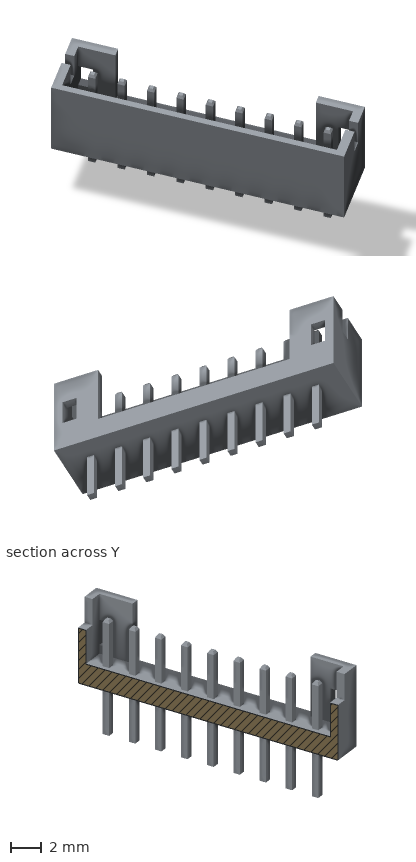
import cadquery as cq

LENGTH = 19.9
DEPTH = 4.5
HEIGHT = 5.99
END_WALL = 0.62
FRONT_WALL = 0.42
BACK_WALL = 0.6
FLOOR = 1.6

LEG_LENGTH = 3.15

SLOT_WIDTH = 0.8
SLOT_DEPTH = 1.91

WINDOW_WIDTH = 1.0
WINDOW_SILL = 2.23

PIN_COUNT = 9
PIN_ROW_SPAN = 16.0
PIN_SIZE = 0.5
PIN_BACK_GAP = 1.45
PIN_TAIL = 3.4
PIN_BELOW_RIM = 0.95
TIP_HEIGHT = 0.2
TIP_INSET = 0.12

inner_length = LENGTH - 2 * END_WALL
inner_half = inner_length / 2
inner_depth = DEPTH - FRONT_WALL - BACK_WALL
leg_spacing = LENGTH - 2 * LEG_LENGTH
pin_back = DEPTH - PIN_BACK_GAP
pin_y = pin_back - PIN_SIZE / 2
pin_pitch = PIN_ROW_SPAN / (PIN_COUNT - 1)
slot_floor = HEIGHT - SLOT_DEPTH


def box(x_min, y_min, z_min, x_size, y_size, z_size):
    """Axis-aligned box placed by its lowest corner."""
    return cq.Workplane("XY").box(x_size, y_size, z_size, centered=False).translate((x_min, y_min, z_min))


def make_housing():
    """Shroud with its cavity, open back, end-wall slots and leg windows."""
    wall_height = HEIGHT - FLOOR
    body = box(-LENGTH / 2, 0, 0, LENGTH, DEPTH, HEIGHT)
    cavity = box(-inner_half, FRONT_WALL, FLOOR, inner_length, inner_depth, wall_height)
    back_opening = box(-leg_spacing / 2, DEPTH - BACK_WALL, FLOOR, leg_spacing, BACK_WALL, wall_height)
    end_slots = box(-LENGTH / 2, pin_back - SLOT_WIDTH, slot_floor, LENGTH, SLOT_WIDTH, SLOT_DEPTH)
    body = body.cut(cavity).cut(back_opening).cut(end_slots)

    for window_x in (-inner_half, inner_half - WINDOW_WIDTH):
        window = box(
            window_x, DEPTH - BACK_WALL, WINDOW_SILL,
            WINDOW_WIDTH, BACK_WALL, slot_floor - WINDOW_SILL,
        )
        body = body.cut(window)
    return body


def make_pin(x):
    """Square pin passing through the floor, topped by a truncated pyramid."""
    tip_base = HEIGHT - PIN_BELOW_RIM - TIP_HEIGHT
    tip_size = PIN_SIZE - 2 * TIP_INSET
    shaft = box(x - PIN_SIZE / 2, pin_y - PIN_SIZE / 2, -PIN_TAIL, PIN_SIZE, PIN_SIZE, tip_base + PIN_TAIL)
    tip = (
        cq.Workplane("XY", origin=(x, pin_y, tip_base))
        .rect(PIN_SIZE, PIN_SIZE)
        .workplane(offset=TIP_HEIGHT)
        .rect(tip_size, tip_size)
        .loft(combine=True)
    )
    return shaft.union(tip)


result = make_housing()
for index in range(PIN_COUNT):
    result = result.union(make_pin(index * pin_pitch - PIN_ROW_SPAN / 2))